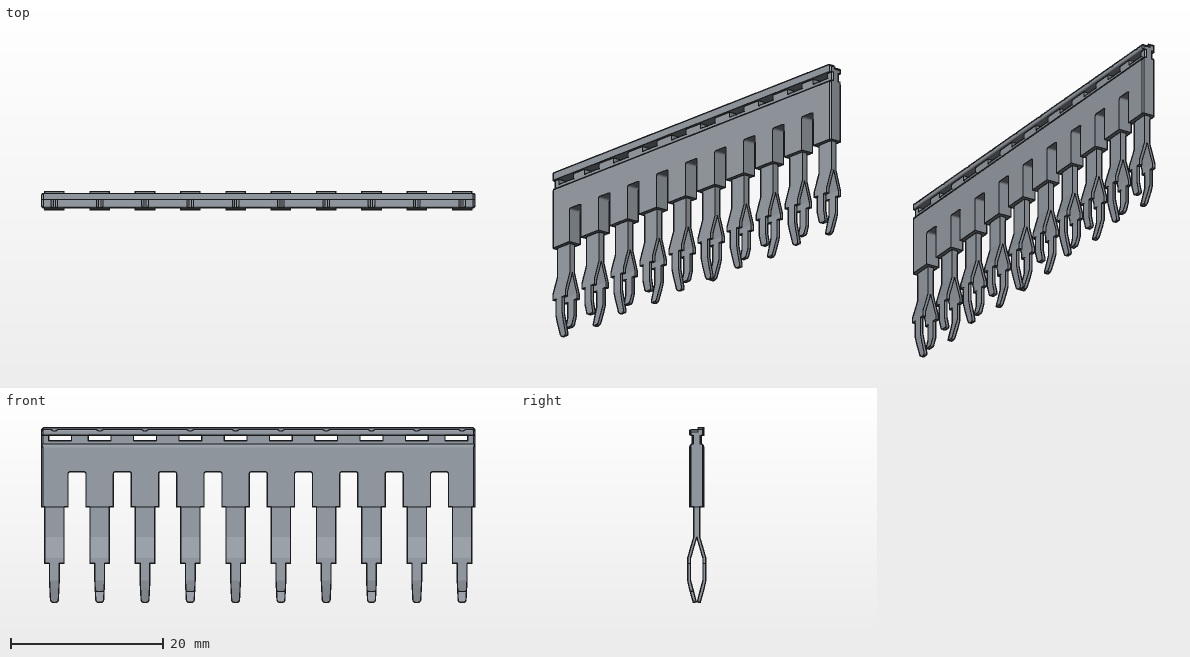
import cadquery as cq


length = 57.05
tine_count = 10
end_to_tine = 1.7
pitch = (length - 2 * end_to_tine) / (tine_count - 1)
end_chamfer = 0.2
top_end_chamfer = 0.3

housing_width = 1.9
ridge_width = 0.8
neck_width = 1.2
ledge_z = -0.3
flange_bottom_z = -1.0
window_bottom_z = -1.7
shoulder_z = -2.15
shoulder_end_z = -2.75
housing_bottom_z = -10.45
shoulder_lip = 0.085
flange_fillet = 0.2

notch_top_width = 0.85
notch_floor_width = 0.3
notch_depth = 0.15

window_length = 2.95
end_window_shift = 0.75

slot_width = 2.35
slot_top_z = -5.8
slot_fillet = 0.3

tine_width = 2.55
leg_thickness = 0.41
fork_z = -14.45
spread_z = -17.2
step_z = -17.85
bend_z = -20.15
lower_bend_z = -21.2
short_leg_z = -21.55
tip_z = -23.05
fork_half_gap = 0.8
spread_half_width = fork_half_gap + leg_thickness
lower_bend_half_width = 0.95
tip_half_width = 0.45
leg_width = 1.3
tip_width = 1.0
tip_fillet = 0.45
short_leg_fillet = 0.3
bend_radius = 0.7
tip_slant = 0.1
double_long_index = 4

tine_places = [(i - (tine_count - 1) / 2) * pitch for i in range(tine_count)]


def bar(width, bottom_z, top_z):
    """Full-length bar centred on Y = 0 with chamfered vertical edges."""
    block = cq.Workplane("XY").workplane(offset=bottom_z).rect(length, width).extrude(top_z - bottom_z)
    return block.edges("|Z").chamfer(end_chamfer)


def make_shoulder_profile():
    """Lower housing section: narrow flat lips beside the neck, curving down into the upright faces."""
    half_width = housing_width / 2
    half = (
        cq.Workplane("YZ")
        .moveTo(0, housing_bottom_z)
        .lineTo(half_width, housing_bottom_z)
        .lineTo(half_width, shoulder_end_z)
        .tangentArcPoint((neck_width / 2 + shoulder_lip, shoulder_z), relative=False)
        .lineTo(0, shoulder_z)
        .close()
        .extrude(length / 2, both=True)
    )
    return half.union(half.mirror("XZ"))


def flange_block(front_y, back_y, top_z):
    """Full-length block standing on the flange underside, with chamfered top ends."""
    size = (length, back_y - front_y, top_z - flange_bottom_z)
    block = cq.Workplane("XY").box(*size, centered=(True, False, False))
    return block.edges("|Y and >Z").chamfer(top_end_chamfer).translate((0, front_y, flange_bottom_z))


def make_flange():
    """Ledge with a rounded front and notches, and a raised ridge along its back edge."""
    back = housing_width / 2
    ridge_front = back - ridge_width
    rounded_front = (
        cq.Workplane("XY")
        .box(length, housing_width, ledge_z - flange_bottom_z, centered=(True, True, False))
        .translate((0, 0, flange_bottom_z))
        .edges("|X and <Y")
        .fillet(flange_fillet)
    )
    ledge = flange_block(-back, ridge_front, ledge_z).intersect(rounded_front)
    ridge = flange_block(ridge_front, back, 0)
    flange = ledge.union(ridge).intersect(bar(housing_width, flange_bottom_z, 0))

    notch = (
        cq.Workplane("XZ")
        .polyline([
            (-notch_top_width / 2, ledge_z), (notch_top_width / 2, ledge_z),
            (notch_floor_width / 2, ledge_z - notch_depth),
            (-notch_floor_width / 2, ledge_z - notch_depth),
        ])
        .close()
        .extrude(housing_width - ridge_width)
        .translate((0, ridge_front, 0))
    )
    for x in tine_places:
        flange = flange.cut(notch.translate((x, 0, 0)))
    return flange


def make_housing():
    """Slotted lower body, windowed neck and top flange."""
    lower = bar(housing_width, housing_bottom_z, shoulder_z).intersect(make_shoulder_profile())
    neck = bar(neck_width, shoulder_z, flange_bottom_z)

    window_height = flange_bottom_z - window_bottom_z
    window = cq.Workplane("XY").box(window_length, housing_width, window_height, centered=(True, True, False))
    for x in tine_places:
        centre = x
        if x == tine_places[0]:
            centre = x + end_window_shift
        if x == tine_places[-1]:
            centre = x - end_window_shift
        neck = neck.cut(window.translate((centre, 0, window_bottom_z)))

    slot_height = slot_top_z - housing_bottom_z
    slot = cq.Workplane("XY").box(slot_width, housing_width, slot_height, centered=(True, True, False))
    slot = slot.edges("|Y and >Z").fillet(slot_fillet)
    for x in tine_places[:-1]:
        lower = lower.cut(slot.translate((x + pitch / 2, 0, housing_bottom_z)))
    return lower.union(neck).union(make_flange())


def make_leg(end_z, end_fillet):
    """Front leg of a forked tine: a bent strip on the -Y side, cut to its stepped and rounded outline."""
    strip = (
        cq.Workplane("YZ")
        .polyline([
            (0, housing_bottom_z), (-leg_thickness, housing_bottom_z), (-leg_thickness, fork_z),
            (-spread_half_width, spread_z), (-spread_half_width, bend_z),
            (-lower_bend_half_width, lower_bend_z), (-tip_half_width, tip_z),
            (leg_thickness - tip_half_width, tip_z + tip_slant),
            (-fork_half_gap, bend_z), (-fork_half_gap, spread_z), (0, fork_z),
        ])
        .close()
        .extrude(tine_width / 2, both=True)
        .edges(cq.selectors.NearestToPointSelector((0, -spread_half_width, bend_z)))
        .fillet(bend_radius)
    )
    end_fraction = (bend_z - end_z) / (bend_z - tip_z)
    end_half = (leg_width + (tip_width - leg_width) * end_fraction) / 2
    outline = (
        cq.Workplane("XZ")
        .polyline([
            (-tine_width / 2, housing_bottom_z), (tine_width / 2, housing_bottom_z),
            (tine_width / 2, step_z), (leg_width / 2, step_z), (leg_width / 2, bend_z),
            (end_half, end_z), (-end_half, end_z), (-leg_width / 2, bend_z),
            (-leg_width / 2, step_z), (-tine_width / 2, step_z),
        ])
        .close()
        .extrude(housing_width, both=True)
        .edges("|Y and <Z")
        .fillet(end_fillet)
    )
    return strip.intersect(outline)


long_leg = make_leg(tip_z, tip_fillet)
short_leg = make_leg(short_leg_z, short_leg_fillet)
long_front_tine = long_leg.union(short_leg.mirror("XZ"))
long_back_tine = long_front_tine.mirror("XZ")
double_long_tine = long_leg.union(long_leg.mirror("XZ"))

result = make_housing()
for i, x in enumerate(tine_places):
    if i == double_long_index:
        tine = double_long_tine
    elif i % 2 == 0:
        tine = long_front_tine
    else:
        tine = long_back_tine
    result = result.union(tine.translate((x, 0, 0)))